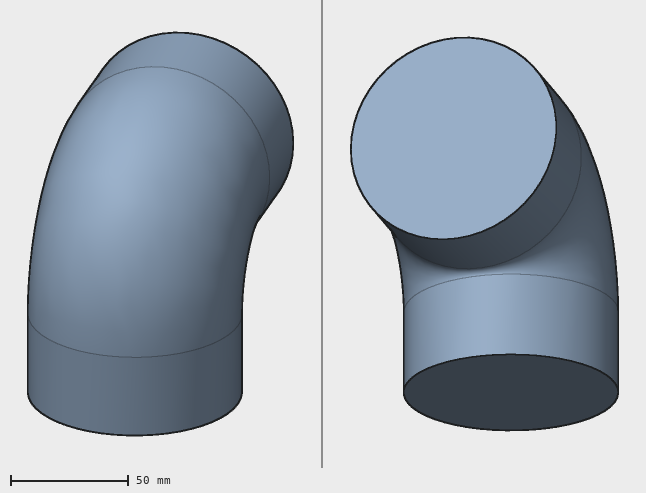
import cadquery as cq

overall_length = 130.0
outer_diameter = 91.0
collar_length = 36.5

outer_radius = outer_diameter / 2
bend_radius = overall_length - collar_length - outer_radius
bend_angle = 90

bend_center_y = bend_radius
bend_center_z = collar_length


def make_lower_collar():
    """Vertical cylinder running up to the start of the bend."""
    return cq.Workplane("XY").circle(outer_radius).extrude(collar_length)


def make_bend():
    """Quarter torus turning from +Z to +Y."""
    return (
        cq.Workplane("XY", origin=(0, 0, bend_center_z))
        .circle(outer_radius)
        .revolve(bend_angle, (0, bend_center_y, 0), (-1, bend_center_y, 0))
    )


def make_rear_collar():
    """Horizontal cylinder running along +Y from the end of the bend."""
    start = (0, bend_center_y, bend_center_z + bend_radius)
    return cq.Workplane("XZ", origin=start).circle(outer_radius).extrude(-collar_length)


result = make_lower_collar().union(make_bend()).union(make_rear_collar())